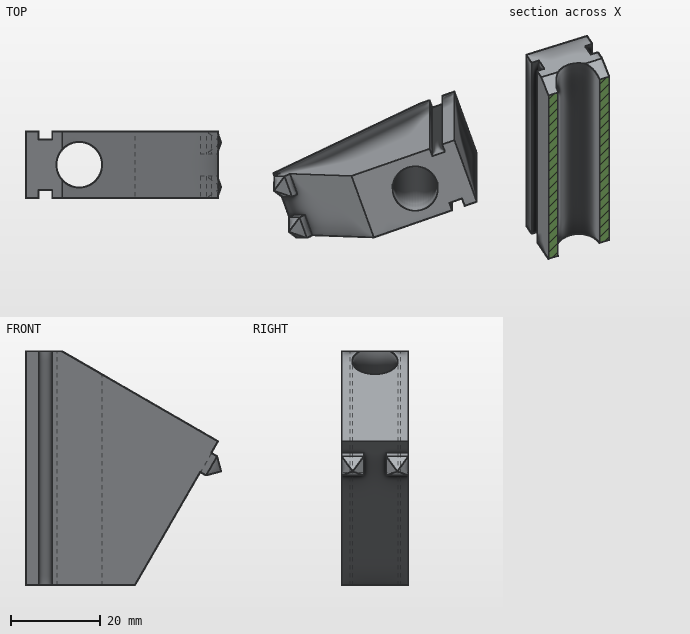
import cadquery as cq
import math

width = 15.0
height = 52.5
base_length = 24.5
face_length = 37.29
face_angle = 60.0

groove_start = 2.9
groove_width = 3.0
groove_depth = 1.8

hole_diameter = 10.2
hole_x = 12.0

stud_size = 5.0
stud_shank = 1.5
point_height = 2.5
stud_tip_gap = 3.0

along_x = math.cos(math.radians(face_angle))
along_z = math.sin(math.radians(face_angle))
normal = (along_z, 0, -along_x)

nose_x = base_length + face_length * along_x
nose_z = face_length * along_z
top_length = nose_x - (height - nose_z) * math.tan(math.radians(face_angle))

stud_position = face_length - stud_tip_gap - stud_size / 2
stud_offset_y = (width - stud_size) / 2


def make_body():
    return (
        cq.Workplane("XZ")
        .moveTo(0, 0)
        .lineTo(base_length, 0)
        .lineTo(nose_x, nose_z)
        .lineTo(top_length, height)
        .lineTo(0, height)
        .close()
        .extrude(width / 2, both=True)
    )


def make_groove(side):
    """Full-height groove in the +Y (side = 1) or -Y (side = -1) face."""
    center_x = groove_start + groove_width / 2
    return (
        cq.Workplane("XY")
        .center(center_x, side * width / 2)
        .rect(groove_width, 2 * groove_depth)
        .extrude(height)
    )


def make_hole():
    return cq.Workplane("XY").center(hole_x, 0).circle(hole_diameter / 2).extrude(height)


def make_point():
    """Square pyramid on the stud end, built as a solid from its faces."""
    half = stud_size / 2
    corners = [
        cq.Vector(-half, -half, stud_shank),
        cq.Vector(half, -half, stud_shank),
        cq.Vector(half, half, stud_shank),
        cq.Vector(-half, half, stud_shank),
    ]
    apex = cq.Vector(0, 0, stud_shank + point_height)
    outlines = [corners]
    for index, corner in enumerate(corners):
        next_corner = corners[(index + 1) % len(corners)]
        outlines.append([corner, next_corner, apex])
    faces = [cq.Face.makeFromWires(cq.Wire.makePolygon(outline, close=True)) for outline in outlines]
    return cq.Solid.makeSolid(cq.Shell.makeShell(faces))


def make_stud(side):
    """Square shank with a pyramid point, standing on the working face."""
    origin = (
        base_length + stud_position * along_x,
        side * stud_offset_y,
        stud_position * along_z,
    )
    face_plane = cq.Plane(origin=origin, xDir=(along_x, 0, along_z), normal=normal)
    shank = cq.Workplane("XY").rect(stud_size, stud_size).extrude(stud_shank)
    stud = shank.union(cq.Workplane(make_point()))
    return cq.Workplane(stud.val().moved(cq.Location(face_plane)))


result = make_body().cut(make_hole())
for side in (-1, 1):
    result = result.cut(make_groove(side)).union(make_stud(side))